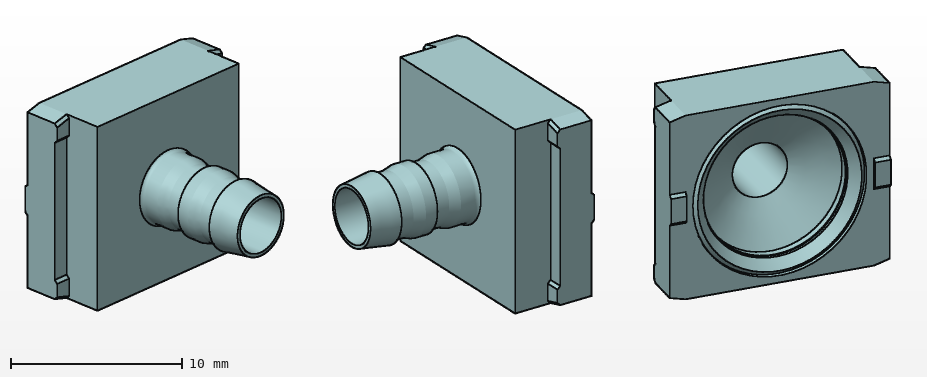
import cadquery as cq
import math


block_depth = 4.71
block_side = 11.9
ear_span = 13.9
ear_end_drop = 0.26
ear_depth = 2.4
raised_step = 0.2
relief_half_height = 4.43
front_pad_half_height = 1.0

barb_radius = 2.25
neck_radius = 2.06
tip_radius = 1.96
root_flare_radius = 2.4
root_flare_end = 0.29
collar_end = 1.3
first_neck_start = 2.0
rib_start = 2.96
rib_end = 3.78
second_neck_start = 4.53
tip_start = 5.49
barb_length = 7.49

seat_radius = 5.49
seat_depth = 0.85
chamber_radius = 4.5
chamber_depth = 1.36
throat_radius = 1.74
throat_depth = 3.03

ring_front_radius = 5.18
ring_chamfer = seat_radius - ring_front_radius
ring_bore_radius = 4.56
ring_cone_depth = 0.63

block_half = block_side / 2
ear_half_span = ear_span / 2
barb_end = block_depth + barb_length


def revolve_about_x(profile):
    """Close an (X, radius) profile and turn it about the flow axis."""
    return profile.close().revolve(360, (0, 0, 0), (1, 0, 0))


def make_block():
    return cq.Workplane("XY").box(block_depth, block_side, block_side, centered=(False, True, True))


def make_ear(side):
    """Ear on one Y side, with sloped ends, a rear relief and a front pad."""
    inner = side * block_half
    outer = side * ear_half_span
    outer_half_height = block_half - ear_end_drop
    ear = (
        cq.Workplane("YZ")
        .polyline([
            (inner, -block_half),
            (outer, -outer_half_height),
            (outer, outer_half_height),
            (inner, block_half),
        ])
        .close()
        .extrude(ear_depth)
    )
    ear = ear.faces(">X").edges(">Z or <Z").chamfer(raised_step)

    ear_width = ear_half_span - block_half
    sketch = cq.Workplane("XZ", origin=(0, max(inner, outer), 0))
    relief_floor = ear_depth - raised_step
    relief_mouth_half = relief_half_height + raised_step
    relief = (
        sketch
        .polyline([
            (relief_floor, -relief_half_height),
            (ear_depth, -relief_mouth_half),
            (ear_depth, relief_mouth_half),
            (relief_floor, relief_half_height),
        ])
        .close()
        .extrude(ear_width)
    )
    pad_top_half = front_pad_half_height - raised_step
    front_pad = (
        sketch
        .polyline([
            (0, -front_pad_half_height),
            (-raised_step, -pad_top_half),
            (-raised_step, pad_top_half),
            (0, front_pad_half_height),
        ])
        .close()
        .extrude(ear_width)
    )
    return ear.cut(relief).union(front_pad)


def make_barb():
    """Solid hose barb with a flared root, one rib and a tapered tip."""
    flare_height = root_flare_radius - barb_radius
    flare_arc_radius = (root_flare_end**2 + flare_height**2) / (2 * flare_height)
    half_sweep = math.asin(root_flare_end / flare_arc_radius) / 2
    flare_middle = (
        block_depth + root_flare_end - flare_arc_radius * math.sin(half_sweep),
        barb_radius + flare_arc_radius * (1 - math.cos(half_sweep)),
    )
    profile = (
        cq.Workplane("XY")
        .moveTo(block_depth, 0)
        .lineTo(block_depth, root_flare_radius)
        .threePointArc(flare_middle, (block_depth + root_flare_end, barb_radius))
        .lineTo(block_depth + collar_end, barb_radius)
        .lineTo(block_depth + first_neck_start, neck_radius)
        .lineTo(block_depth + rib_start, neck_radius)
        .lineTo(block_depth + rib_start, barb_radius)
        .lineTo(block_depth + rib_end, barb_radius)
        .lineTo(block_depth + second_neck_start, neck_radius)
        .lineTo(block_depth + tip_start, neck_radius)
        .lineTo(block_depth + tip_start, barb_radius)
        .lineTo(barb_end, tip_radius)
        .lineTo(barb_end, 0)
    )
    return revolve_about_x(profile)


def make_flow_passage():
    """Ring seat, chamber, conical funnel and through bore."""
    profile = (
        cq.Workplane("XY")
        .lineTo(0, seat_radius)
        .lineTo(seat_depth, seat_radius)
        .lineTo(seat_depth, chamber_radius)
        .lineTo(chamber_depth, chamber_radius)
        .lineTo(throat_depth, throat_radius)
        .lineTo(barb_end, throat_radius)
        .lineTo(barb_end, 0)
    )
    return revolve_about_x(profile)


def make_housing():
    housing = make_block().union(make_barb())
    for side in (-1, 1):
        housing = housing.union(make_ear(side))
    return housing.cut(make_flow_passage())


def make_insert_ring():
    """Ring flush with the block face, with a conical mouth and a chamfered rim."""
    profile = (
        cq.Workplane("XY")
        .moveTo(0, ring_front_radius)
        .lineTo(ring_chamfer, seat_radius)
        .lineTo(seat_depth, seat_radius)
        .lineTo(seat_depth, ring_bore_radius)
        .lineTo(ring_cone_depth, ring_bore_radius)
    )
    return revolve_about_x(profile)


housing = make_housing()
insert_ring = make_insert_ring()

result = cq.Compound.makeCompound([housing.val(), insert_ring.val()])